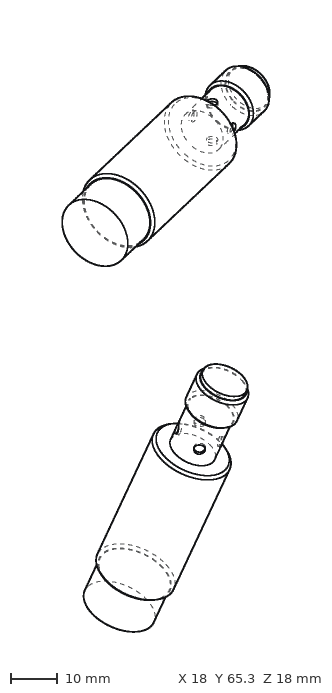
import cadquery as cq

total_length = 65.3
body_start = 9.35
body_end = 45.3
collar_start = 56.3
collar_end = 64.25
window_position = 49.55

face_diameter = 16.3
body_diameter = 18.0
neck_diameter = 10.4
collar_diameter = 12.0
window_diameter = 2.5

edge_chamfer = 0.65
window_depth = 0.7

face_radius = face_diameter / 2
body_radius = body_diameter / 2
neck_radius = neck_diameter / 2
collar_radius = collar_diameter / 2


def turned_housing():
    """Half profile of the round housing, revolved about the Y axis."""
    profile = [
        (0, 0),
        (face_radius, 0),
        (face_radius, body_start),
        (body_radius - edge_chamfer, body_start),
        (body_radius, body_start + edge_chamfer),
        (body_radius, body_end - edge_chamfer),
        (body_radius - edge_chamfer, body_end),
        (neck_radius, body_end),
        (neck_radius, collar_start),
        (collar_radius - edge_chamfer, collar_start),
        (collar_radius, collar_start + edge_chamfer),
        (collar_radius, collar_end - edge_chamfer),
        (collar_radius - edge_chamfer, collar_end),
        (neck_radius, collar_end),
        (neck_radius, total_length),
        (0, total_length),
    ]
    return cq.Workplane("XY").polyline(profile).close().revolve(360, (0, 0), (0, 1))


def window_recess(angle):
    """Cutter for a flat-bottomed blind recess in the neck, turned about Y."""
    cutter = (
        cq.Workplane("XY", origin=(0, window_position, neck_radius - window_depth))
        .circle(window_diameter / 2)
        .extrude(2 * window_depth)
    )
    return cutter.rotate((0, 0, 0), (0, 1, 0), angle)


result = turned_housing()

window_count = 4
for index in range(window_count):
    result = result.cut(window_recess(index * 360 / window_count))